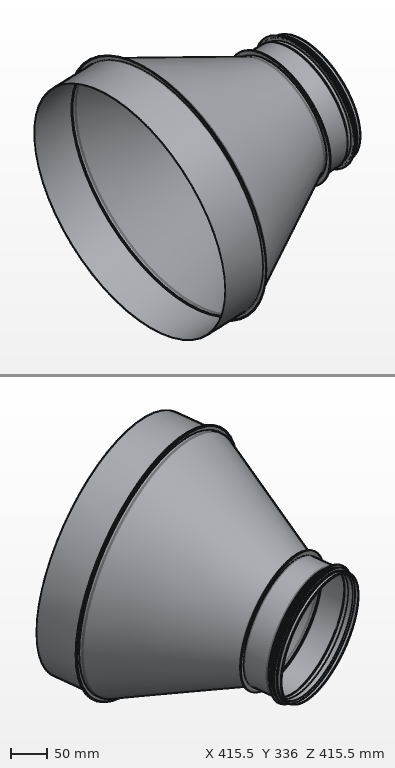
import cadquery as cq
import math


SHEET = 0.5

WIDE_DIAMETER = 401.8
NARROW_DIAMETER = 199.0
WIDE_FLANGE_DIAMETER = 415.5
WIDE_CONE_FLANGE_DIAMETER = 412.5
NARROW_FLANGE_DIAMETER = 213.0
GROOVE_DIAMETER = 194.0
RIM_DIAMETER = 197.8
SEAL_SHOULDER_DIAMETER = 202.0
SEAL_BEAD_DIAMETER = 204.5
SEAL_LIP_DIAMETER = 209.5

TOTAL_LENGTH = 336.0
WIDE_JOINT_Y = 69.5
NARROW_JOINT_Y = 274.0
CONE_START_Y = 74.8
CONE_END_Y = 269.0
FLANGE_THICKNESS = 2 * SHEET

FLANGE_ROOT_RADIUS = 1.0
CONE_BEND_RADIUS = 3.5
GROOVE_BEND_RADIUS = 1.5

RIM_TAPER = 1.2
GROOVE_START_DEPTH = 6.2
GROOVE_END_DEPTH = 24.5
GROOVE_WALL_RUN = 2.0

SEAL_BACK_DEPTH = 16.0
SEAL_LIP_THICKNESS = 1.5
BEAD_START_DEPTH = 8.5
BEAD_END_DEPTH = 13.5
BEAD_CREST_START_DEPTH = 10.0
BEAD_CREST_END_DEPTH = 12.5

wide_radius = WIDE_DIAMETER / 2
narrow_radius = NARROW_DIAMETER / 2
groove_radius = GROOVE_DIAMETER / 2
groove_start_y = TOTAL_LENGTH - GROOVE_START_DEPTH
groove_end_y = TOTAL_LENGTH - GROOVE_END_DEPTH
groove_floor_top_y = groove_start_y - GROOVE_WALL_RUN
groove_floor_bottom_y = groove_end_y + GROOVE_WALL_RUN


def revolve_profile(points):
    """Revolve a closed (radius, y) outline once around the Y axis."""
    return cq.Workplane("XY").polyline(points).close().revolve(360, (0, 0), (0, 1))


def round_root(body, tube_radius, face_y, rise):
    """Fill the corner between a tube and a flange face; rise is the bend radius, negative towards -Y."""
    bend = abs(rise)
    arc_offset = bend * (1 - math.sqrt(0.5))
    corner = (
        cq.Workplane("XY")
        .moveTo(tube_radius, face_y)
        .lineTo(tube_radius + bend, face_y)
        .threePointArc(
            (tube_radius + arc_offset, face_y + math.copysign(arc_offset, rise)),
            (tube_radius, face_y + rise),
        )
        .close()
        .revolve(360, (0, 0), (0, 1))
    )
    return body.union(corner)


def round_rings(body, y, radius):
    """Round every circular edge whose centre lies on the axis at height y."""
    reach = WIDE_FLANGE_DIAMETER
    tolerance = SHEET / 10
    band = cq.selectors.BoxSelector(
        (-reach, y - tolerance, -reach), (reach, y + tolerance, reach)
    )
    return body.edges("%CIRCLE").edges(band).fillet(radius)


def make_wide_collar():
    outer_line = [
        (wide_radius, 0),
        (wide_radius, WIDE_JOINT_Y - FLANGE_THICKNESS),
        (WIDE_FLANGE_DIAMETER / 2, WIDE_JOINT_Y - FLANGE_THICKNESS),
        (WIDE_FLANGE_DIAMETER / 2, WIDE_JOINT_Y),
    ]
    inner_line = [(wide_radius - SHEET, WIDE_JOINT_Y), (wide_radius - SHEET, 0)]
    collar = revolve_profile(outer_line + inner_line)
    return round_root(collar, wide_radius, WIDE_JOINT_Y - FLANGE_THICKNESS, -FLANGE_ROOT_RADIUS)


def make_cone():
    wide_flange_radius = WIDE_CONE_FLANGE_DIAMETER / 2
    narrow_flange_radius = NARROW_FLANGE_DIAMETER / 2
    outer_line = [
        (wide_flange_radius, WIDE_JOINT_Y),
        (wide_flange_radius, WIDE_JOINT_Y + FLANGE_THICKNESS),
        (wide_radius, WIDE_JOINT_Y + FLANGE_THICKNESS),
        (wide_radius, CONE_START_Y),
        (narrow_radius, CONE_END_Y),
        (narrow_radius, NARROW_JOINT_Y - FLANGE_THICKNESS),
        (narrow_flange_radius, NARROW_JOINT_Y - FLANGE_THICKNESS),
        (narrow_flange_radius, NARROW_JOINT_Y),
    ]
    inner_line = [
        (narrow_radius - SHEET, NARROW_JOINT_Y),
        (narrow_radius - SHEET, CONE_END_Y),
        (wide_radius - SHEET, CONE_START_Y),
        (wide_radius - SHEET, WIDE_JOINT_Y),
    ]
    cone_body = revolve_profile(outer_line + inner_line)
    for bend_y in (CONE_START_Y, CONE_END_Y):
        cone_body = round_rings(cone_body, bend_y, CONE_BEND_RADIUS)
    return cone_body


def make_narrow_collar():
    flange_radius = NARROW_FLANGE_DIAMETER / 2
    tube_line = [
        (narrow_radius, NARROW_JOINT_Y),
        (narrow_radius, groove_end_y),
        (groove_radius, groove_floor_bottom_y),
        (groove_radius, groove_floor_top_y),
        (narrow_radius, groove_start_y),
        (narrow_radius, TOTAL_LENGTH - RIM_TAPER),
        (RIM_DIAMETER / 2, TOTAL_LENGTH),
    ]
    flange_line = [
        (flange_radius, NARROW_JOINT_Y),
        (flange_radius, NARROW_JOINT_Y + FLANGE_THICKNESS),
        (narrow_radius, NARROW_JOINT_Y + FLANGE_THICKNESS),
    ]
    inner_line = [(radius - SHEET, y) for radius, y in reversed(tube_line)]
    collar = revolve_profile(flange_line + tube_line[1:] + inner_line)
    for bend_y in (groove_floor_bottom_y, groove_end_y):
        collar = round_rings(collar, bend_y, GROOVE_BEND_RADIUS)
    return round_root(collar, narrow_radius, NARROW_JOINT_Y + FLANGE_THICKNESS, FLANGE_ROOT_RADIUS)


def make_seal():
    shoulder_radius = SEAL_SHOULDER_DIAMETER / 2
    bead_radius = SEAL_BEAD_DIAMETER / 2
    lip_radius = SEAL_LIP_DIAMETER / 2
    back_y = TOTAL_LENGTH - SEAL_BACK_DEPTH
    lip_front_y = back_y + SEAL_LIP_THICKNESS
    return revolve_profile(
        [
            (narrow_radius, groove_start_y),
            (groove_radius, groove_floor_top_y),
            (groove_radius, back_y),
            (lip_radius, back_y),
            (lip_radius, lip_front_y),
            (shoulder_radius, lip_front_y),
            (shoulder_radius, TOTAL_LENGTH - BEAD_END_DEPTH),
            (bead_radius, TOTAL_LENGTH - BEAD_CREST_END_DEPTH),
            (bead_radius, TOTAL_LENGTH - BEAD_CREST_START_DEPTH),
            (narrow_radius, TOTAL_LENGTH - BEAD_START_DEPTH),
        ]
    )


wide_collar = make_wide_collar()
cone = make_cone()
narrow_collar = make_narrow_collar()
seal = make_seal()

result = cq.Compound.makeCompound(
    [wide_collar.val(), cone.val(), narrow_collar.val(), seal.val()]
)